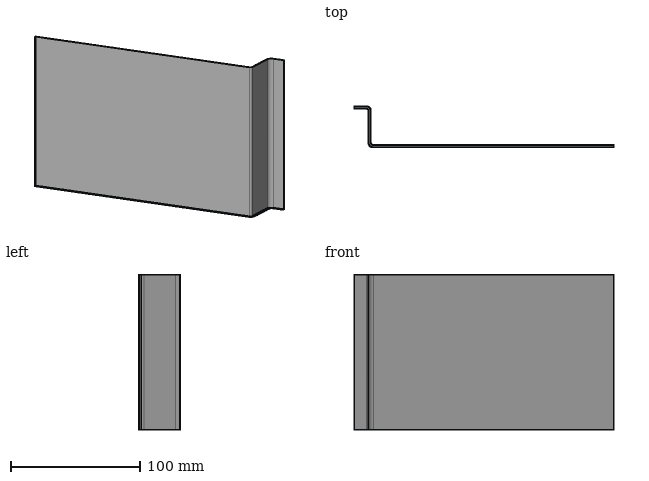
import cadquery as cq

length = 201.0
depth = 32.0
height = 120.0
thickness = 2.0
inner_radius = 1.6
web_outer_x = 13.0

outer_radius = inner_radius + thickness
web_inner_x = web_outer_x - thickness

left = -length / 2
front = -depth / 2
bottom = -height / 2


def bend(profile, corner_x, corner_y, radius):
    """Round the profile edge along Z at the given corner."""
    reach = 0.2
    corner = cq.selectors.BoxSelector(
        (corner_x - reach, corner_y - reach, bottom - reach),
        (corner_x + reach, corner_y + reach, -bottom + reach),
    )
    return profile.edges("|Z").edges(corner).fillet(radius)


web_near = left + web_inner_x
web_far = left + web_outer_x
back = -front
panel_back = front + thickness
flange_front = back - thickness

sheet = (
    cq.Workplane("XY")
    .workplane(offset=bottom)
    .polyline([
        (left, back),
        (web_far, back),
        (web_far, panel_back),
        (-left, panel_back),
        (-left, front),
        (web_near, front),
        (web_near, flange_front),
        (left, flange_front),
    ])
    .close()
    .extrude(height)
)

sheet = bend(sheet, web_far, back, outer_radius)
sheet = bend(sheet, web_near, flange_front, inner_radius)
sheet = bend(sheet, web_near, front, outer_radius)
sheet = bend(sheet, web_far, panel_back, inner_radius)

result = sheet